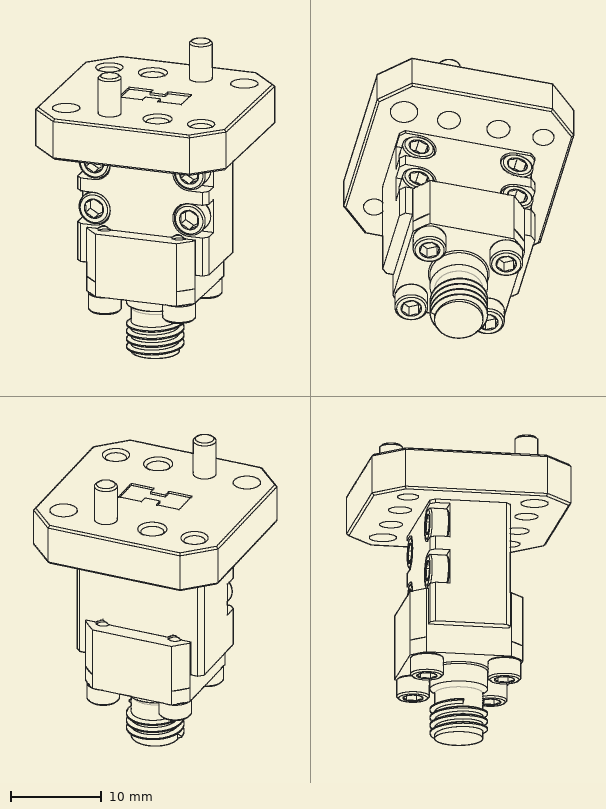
import cadquery as cq
import math


FLANGE_SIDE = 22.25
FLANGE_HEIGHT = 4.7
FLANGE_CORNER_CUT = 3.17
FLANGE_BEVEL = 0.25

CORNER_HOLE_X = 7.88
DOWEL_X = 2.8
HOLE_ROW_Y = 7.05
CLEARANCE_HOLE_RADIUS = 1.5
THREADED_HOLE_RADIUS = 1.15
DOWEL_RADIUS = 1.25
COUNTERSINK = 0.35
DOWEL_PROJECTION = 4.35
DOWEL_BEVEL = 0.25

GUIDE_HALF_WIDTH = 3.65
GUIDE_HALF_HEIGHT = 1.7
RIDGE_HALF_WIDTH = 0.9
RIDGE_HALF_GAP = 0.75
GUIDE_DEPTH = 0.25

BODY_WIDTH = 15.3
BODY_THICKNESS = 8.97
BODY_LENGTH = 14.0
BODY_EDGE_CHAMFER = 0.55

BLOCK_SIDE = 12.62
BLOCK_CORNER_CUT = 1.57
BLOCK_TOP_DROP = 9.9
BLOCK_HEIGHT = 7.3
BLOCK_BASE_HEIGHT = 1.7

HEAD_RADIUS = 1.8
HEAD_LENGTH = 2.15
HEAD_FRONT_BEVEL = 0.2
HEAD_REAR_BEVEL = 0.15
SOCKET_FLATS = 1.95
SOCKET_RIM_DEPTH = 0.07
SOCKET_DEPTH = 1.55

SIDE_SCREW_X = 5.55
SIDE_SCREW_DROP = 2.32
SIDE_SCREW_PITCH = 5.32
POCKET_RADIUS = 1.9
POCKET_DEPTH = HEAD_LENGTH

BASE_SCREW_OFFSET = 4.33
DRILL_RADIUS = 0.8
DRILL_RECESS = 0.3
DRILL_TIP_LENGTH = 0.5

COLLAR_RADIUS = 3.17
COLLAR_LENGTH = 2.2
COLLAR_FLARE = 0.17
BARREL_RADIUS = 2.65
BARREL_FILLET = COLLAR_RADIUS - BARREL_RADIUS
THREAD_RADIUS = 3.17
THREAD_PITCH = 0.9
THREAD_TURNS = 3.5
THREAD_ROOT_HEIGHT = 0.58
THREAD_CREST_HEIGHT = 0.15
THREAD_START = 0.45
THREAD_SINK = 0.1

TOTAL_HEIGHT = 34.1
CONNECTOR_END_Z = DOWEL_PROJECTION - TOTAL_HEIGHT
FLANGE_UNDERSIDE_Z = -FLANGE_HEIGHT
BODY_BOTTOM_Z = FLANGE_UNDERSIDE_Z - BODY_LENGTH
BLOCK_TOP_Z = FLANGE_UNDERSIDE_Z - BLOCK_TOP_DROP
BLOCK_BOTTOM_Z = BLOCK_TOP_Z - BLOCK_HEIGHT

SIGNS = (-1, 1)


def level_plane(z):
    """Horizontal work plane at height z."""
    return cq.Workplane("XY", origin=(0, 0, z))


def make_flange():
    return (
        level_plane(FLANGE_UNDERSIDE_Z)
        .rect(FLANGE_SIDE, FLANGE_SIDE)
        .extrude(FLANGE_HEIGHT)
        .edges("|Z")
        .chamfer(FLANGE_CORNER_CUT)
        .faces(">Z or <Z")
        .chamfer(FLANGE_BEVEL)
    )


def make_guide_body():
    return (
        level_plane(BODY_BOTTOM_Z)
        .rect(BODY_WIDTH, BODY_THICKNESS)
        .extrude(BODY_LENGTH)
        .edges("|Z")
        .chamfer(BODY_EDGE_CHAMFER)
    )


def make_connector_block():
    """Square block with flat corner cuts above and slightly rounded corners at its base."""
    half = BLOCK_SIDE / 2
    corner_radius = math.hypot(half, half - BLOCK_CORNER_CUT)
    base = (
        level_plane(BLOCK_BOTTOM_Z)
        .rect(BLOCK_SIDE, BLOCK_SIDE)
        .extrude(BLOCK_BASE_HEIGHT)
        .intersect(level_plane(BLOCK_BOTTOM_Z).circle(corner_radius).extrude(BLOCK_BASE_HEIGHT))
    )
    upper = (
        level_plane(BLOCK_BOTTOM_Z + BLOCK_BASE_HEIGHT)
        .rect(BLOCK_SIDE, BLOCK_SIDE)
        .extrude(BLOCK_HEIGHT - BLOCK_BASE_HEIGHT)
        .edges("|Z")
        .chamfer(BLOCK_CORNER_CUT)
    )
    return base.union(upper)


def make_thread():
    """Right-handed helical ridge around the barrel, starting at the -X side."""
    start_z = CONNECTOR_END_Z + THREAD_START
    flank_slope = (THREAD_ROOT_HEIGHT - THREAD_CREST_HEIGHT) / 2 / (THREAD_RADIUS - BARREL_RADIUS)
    half_crest = THREAD_CREST_HEIGHT / 2
    half_root = THREAD_ROOT_HEIGHT / 2 + flank_slope * THREAD_SINK
    root_radius = BARREL_RADIUS - THREAD_SINK
    helix = cq.Wire.makeHelix(THREAD_PITCH, THREAD_PITCH * THREAD_TURNS, BARREL_RADIUS)
    ridge = (
        cq.Workplane("XZ")
        .polyline([
            (root_radius, -half_root),
            (THREAD_RADIUS, -half_crest),
            (THREAD_RADIUS, half_crest),
            (root_radius, half_root),
        ])
        .close()
        .sweep(cq.Workplane(helix), isFrenet=True)
    )
    return ridge.rotate((0, 0, 0), (0, 0, 1), 180).translate((0, 0, start_z))


def make_connector():
    """Collar, filleted neck and threaded barrel, revolved about the Z axis."""
    neck_z = BLOCK_BOTTOM_Z - COLLAR_LENGTH
    barrel_top_z = neck_z - BARREL_FILLET
    arc_reach = BARREL_FILLET * math.sqrt(0.5)
    stem = (
        cq.Workplane("XZ")
        .moveTo(0, BLOCK_BOTTOM_Z)
        .lineTo(COLLAR_RADIUS + COLLAR_FLARE, BLOCK_BOTTOM_Z)
        .lineTo(COLLAR_RADIUS, BLOCK_BOTTOM_Z - COLLAR_FLARE)
        .lineTo(COLLAR_RADIUS, neck_z)
        .threePointArc(
            (COLLAR_RADIUS - arc_reach, barrel_top_z + arc_reach),
            (BARREL_RADIUS, barrel_top_z),
        )
        .lineTo(BARREL_RADIUS, CONNECTOR_END_Z)
        .lineTo(0, CONNECTOR_END_Z)
        .close()
        .revolve(360, (0, 0, 0), (0, 1, 0))
    )
    return stem.union(make_thread())


def make_screw_head():
    """Socket head standing on Z = 0 and facing +Z."""
    head = (
        cq.Workplane("XY")
        .circle(HEAD_RADIUS)
        .extrude(HEAD_LENGTH)
        .faces(">Z")
        .chamfer(HEAD_FRONT_BEVEL)
        .faces("<Z")
        .chamfer(HEAD_REAR_BEVEL)
    )
    inner_radius = SOCKET_FLATS / 2
    corner_radius = inner_radius / math.cos(math.pi / 6)
    socket = (
        level_plane(HEAD_LENGTH)
        .transformed(rotate=(0, 0, 30))
        .polygon(6, 2 * corner_radius)
        .extrude(-SOCKET_DEPTH)
    )
    rim = cq.Solid.makeCone(
        corner_radius,
        inner_radius,
        SOCKET_RIM_DEPTH,
        cq.Vector(0, 0, HEAD_LENGTH),
        cq.Vector(0, 0, -1),
    )
    return head.cut(socket).cut(cq.Workplane(rim))


def side_screw_heights():
    first = FLANGE_UNDERSIDE_Z - SIDE_SCREW_DROP
    return (first, first - SIDE_SCREW_PITCH)


def cut_side_pockets(housing):
    """Round-ended pockets in the -Y face, running out through the nearer side."""
    slot_length = BODY_WIDTH / 2
    for z in side_screw_heights():
        for side in SIGNS:
            pocket = (
                cq.Workplane("XZ", origin=(0, -BODY_THICKNESS / 2, 0))
                .center(side * (SIDE_SCREW_X + slot_length / 2), z)
                .rect(slot_length, 2 * POCKET_RADIUS)
                .extrude(-POCKET_DEPTH)
            )
            round_end = (
                cq.Workplane("XZ", origin=(0, -BODY_THICKNESS / 2, 0))
                .center(side * SIDE_SCREW_X, z)
                .circle(POCKET_RADIUS)
                .extrude(-POCKET_DEPTH)
            )
            housing = housing.cut(pocket).cut(round_end)
    return housing


def add_side_screws(housing):
    head = make_screw_head().rotate((0, 0, 0), (1, 0, 0), 90)
    seat_y = POCKET_DEPTH - BODY_THICKNESS / 2
    for z in side_screw_heights():
        for side in SIGNS:
            housing = housing.union(head.translate((side * SIDE_SCREW_X, seat_y, z)))
    return housing


def square_pattern(offset):
    return [(x * offset, y * offset) for x in SIGNS for y in SIGNS]


def add_base_screws(housing):
    head = make_screw_head().rotate((0, 0, 0), (1, 0, 0), 180)
    for x, y in square_pattern(BASE_SCREW_OFFSET):
        housing = housing.union(head.translate((x, y, BLOCK_BOTTOM_Z)))
    return housing


def cut_drill_ends(housing):
    """Conical ends of the screw holes, breaking out of the body faces at the top of the block."""
    drill_end = (
        cq.Workplane("XZ")
        .polyline([
            (0, -DRILL_RECESS),
            (DRILL_RADIUS, -DRILL_RECESS),
            (DRILL_RADIUS, 0),
            (0, DRILL_TIP_LENGTH),
        ])
        .close()
        .revolve(360, (0, 0, 0), (0, 1, 0))
    )
    for x, y in square_pattern(BASE_SCREW_OFFSET):
        housing = housing.cut(drill_end.translate((x, y, BLOCK_TOP_Z)))
    return housing


def flange_hole(x, y, radius, countersink=0.0):
    """Cutter for a hole through the flange, with an optional 45 degree countersink on top."""
    hole = level_plane(FLANGE_UNDERSIDE_Z).center(x, y).circle(radius).extrude(FLANGE_HEIGHT)
    if countersink:
        cone = cq.Solid.makeCone(
            radius + countersink, radius, countersink, cq.Vector(x, y, 0), cq.Vector(0, 0, -1)
        )
        hole = hole.union(cq.Workplane(cone))
    return hole


def cut_flange_holes(housing):
    """Each row is the other one turned by half a turn about Z."""
    for side in SIGNS:
        y = side * HOLE_ROW_Y
        housing = housing.cut(flange_hole(-side * CORNER_HOLE_X, y, THREADED_HOLE_RADIUS, COUNTERSINK))
        housing = housing.cut(flange_hole(-side * DOWEL_X, y, DOWEL_RADIUS, COUNTERSINK))
        housing = housing.cut(flange_hole(side * DOWEL_X, y, DOWEL_RADIUS))
        housing = housing.cut(flange_hole(side * CORNER_HOLE_X, y, CLEARANCE_HOLE_RADIUS))
    return housing


def cut_waveguide_opening(housing):
    opening = (
        level_plane(-GUIDE_DEPTH)
        .rect(2 * GUIDE_HALF_WIDTH, 2 * GUIDE_HALF_HEIGHT)
        .extrude(GUIDE_DEPTH)
    )
    ridge_height = GUIDE_HALF_HEIGHT - RIDGE_HALF_GAP
    ridges = (
        level_plane(-GUIDE_DEPTH)
        .pushPoints([(0, side * (RIDGE_HALF_GAP + ridge_height / 2)) for side in SIGNS])
        .rect(2 * RIDGE_HALF_WIDTH, ridge_height)
        .extrude(GUIDE_DEPTH)
    )
    return housing.cut(opening.cut(ridges))


def make_housing():
    housing = make_flange().union(make_guide_body()).union(make_connector_block())
    housing = cut_side_pockets(housing)
    housing = cut_drill_ends(housing)
    housing = cut_flange_holes(housing)
    housing = cut_waveguide_opening(housing)
    housing = add_side_screws(housing)
    housing = add_base_screws(housing)
    return housing.union(make_connector())


def make_dowel_pin(x, y):
    """Bevelled pin seated in the full thickness of the flange."""
    return (
        level_plane(FLANGE_UNDERSIDE_Z)
        .center(x, y)
        .circle(DOWEL_RADIUS)
        .extrude(FLANGE_HEIGHT + DOWEL_PROJECTION)
        .faces(">Z")
        .chamfer(DOWEL_BEVEL)
    )


housing = make_housing()
dowel_pins = [make_dowel_pin(side * DOWEL_X, side * HOLE_ROW_Y) for side in SIGNS]

result = cq.Compound.makeCompound([housing.val(), *[pin.val() for pin in dowel_pins]])